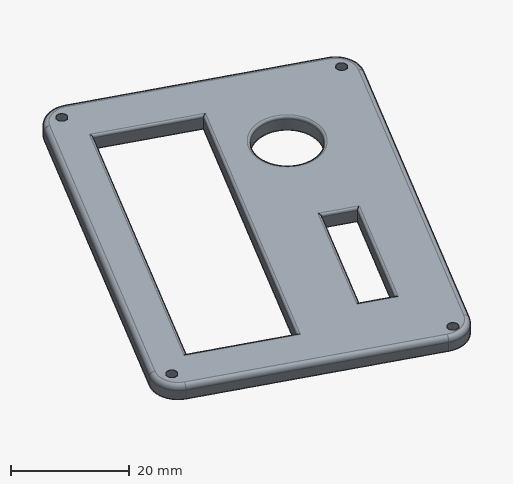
import cadquery as cq

length = 76.0
width = 56.0
thickness = 3.0
corner_radius = 5.0
outer_edge_round = 1.0

screw_diameter = 2.0
screw_centers = [
    (-34.5, 24.5),
    (35.35, 24.5),
    (-34.5, -24.5),
    (34.4, -24.5),
]

opening_edge_round = 0.5
knob_diameter = 12.5
knob_center = (-18.5, 10.5)
connector_length = 23.4
connector_width = 6.2
connector_center = (13.2, 14.05)
display_length = 58.45
display_width = 19.3
display_center = (0.7, -11.0)


def make_plate():
    """Rounded plate, flat below and with a rounded upper rim."""
    plate = cq.Workplane("XY").rect(length, width).extrude(thickness)
    plate = plate.edges("|Z").fillet(corner_radius)
    return plate.faces(">Z").edges().fillet(outer_edge_round)


base = cq.Workplane("XY")
openings = [
    base.center(*knob_center).circle(knob_diameter / 2).extrude(thickness),
    base.center(*connector_center).rect(connector_length, connector_width).extrude(thickness),
    base.center(*display_center).rect(display_length, display_width).extrude(thickness),
]

result = make_plate()
for opening in openings:
    result = result.cut(opening)
opening_rims = [
    edge
    for wire in result.faces(">Z").val().innerWires()
    for edge in wire.Edges()
]
result = result.newObject(opening_rims).fillet(opening_edge_round)

screw_holes = base.pushPoints(screw_centers).circle(screw_diameter / 2).extrude(thickness)
result = result.cut(screw_holes)